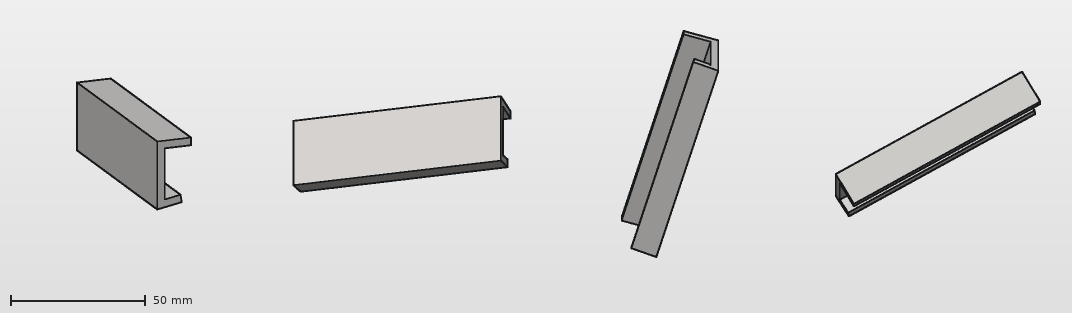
import cadquery as cq
import math

length = 80.0
depth = 13.5
height = 26.5
wall = 3.0
lip_length = 10.0
lip_angle = math.radians(10)

lip_along = (math.cos(lip_angle), math.sin(lip_angle))
lip_normal = (-math.sin(lip_angle), math.cos(lip_angle))

lip_outer_tip = (lip_length * lip_along[0], lip_length * lip_along[1])
lip_inner_tip = (
    lip_outer_tip[0] + wall * lip_normal[0],
    lip_outer_tip[1] + wall * lip_normal[1],
)
inner_corner_z = wall / math.cos(lip_angle) + wall * math.tan(lip_angle)

section = [
    (0, 0),
    lip_outer_tip,
    lip_inner_tip,
    (wall, inner_corner_z),
    (wall, height - wall),
    (depth, height - wall),
    (depth, height),
    (0, height),
]

result = cq.Workplane("YZ").polyline(section).close().extrude(length)